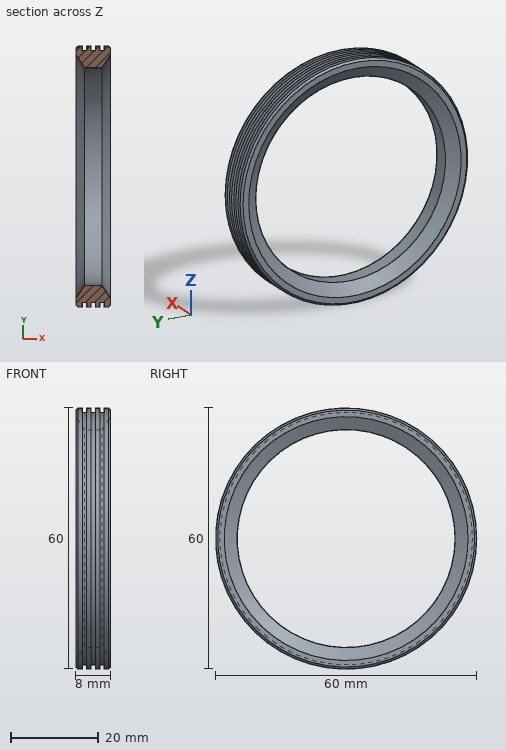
import cadquery as cq

ring_width = 8.0
outer_radius = 30.0
bore_radius = 25.0

mouth_radius = 28.0
mouth_depth = 2.0

edge_chamfer = 0.5

groove_count = 3
groove_width = 1.0
groove_depth = 1.0
groove_pitch = 2.0


def revolve_about_x(profile):
    """Revolve a closed XY profile, with Y as the radius, about the X axis."""
    return profile.revolve(360, (0, 0, 0), (1, 0, 0))


def make_ring():
    """Ring with chamfered outer edges and a bore that flares toward both ends."""
    shoulder_radius = outer_radius - edge_chamfer
    profile = (
        cq.Workplane("XY")
        .moveTo(0, mouth_radius)
        .lineTo(0, shoulder_radius)
        .lineTo(edge_chamfer, outer_radius)
        .lineTo(ring_width - edge_chamfer, outer_radius)
        .lineTo(ring_width, shoulder_radius)
        .lineTo(ring_width, mouth_radius)
        .lineTo(ring_width - mouth_depth, bore_radius)
        .lineTo(mouth_depth, bore_radius)
        .close()
    )
    return revolve_about_x(profile)


def make_groove_hoop(center_x):
    """Rectangular-section hoop that cuts one groove into the rim."""
    profile = cq.Workplane("XY").moveTo(center_x, outer_radius).rect(groove_width, 2 * groove_depth)
    return revolve_about_x(profile)


result = make_ring()
first_groove_x = (ring_width - (groove_count - 1) * groove_pitch) / 2
for index in range(groove_count):
    result = result.cut(make_groove_hoop(first_groove_x + index * groove_pitch))